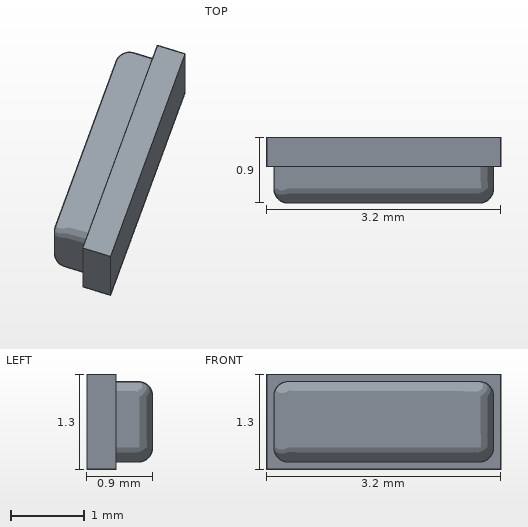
import cadquery as cq

length = 3.2
depth = 0.9
height = 1.3
plate_thickness = 0.4
margin = 0.1
edge_radius = 0.2

cap_depth = depth - plate_thickness


def make_plate():
    """Flat rectangular plate at the back (+Y) of the part."""
    return cq.Workplane("XY").box(length, plate_thickness, height).translate(
        (0, cap_depth + plate_thickness / 2, 0)
    )


def make_cap():
    """Rounded block standing on the plate and facing -Y."""
    block = cq.Workplane("XY").box(length - 2 * margin, cap_depth, height - 2 * margin)
    rounded = block.edges("|Y or <Y").fillet(edge_radius)
    return rounded.translate((0, cap_depth / 2, 0))


result = make_plate().union(make_cap())